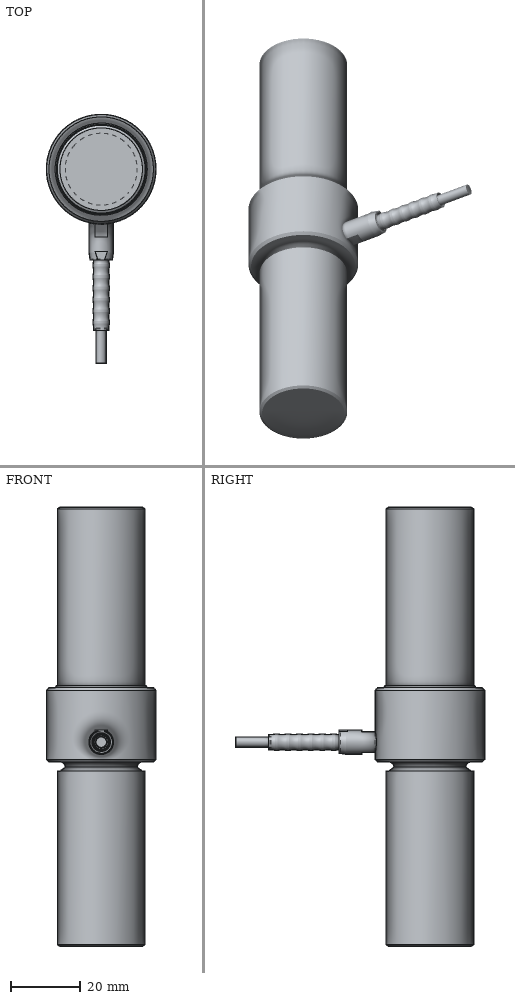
import cadquery as cq

ROD_LENGTH = 127.0
ROD_DIAMETER = 25.4
END_CHAMFER_RADIAL = 0.8
END_CHAMFER_AXIAL = 0.5

COLLAR_DIAMETER = 31.8
COLLAR_BOTTOM = 53.3
COLLAR_TOP = 74.8
COLLAR_CHAMFER = 0.8

STEP_BASE_DIAMETER = 26.7
STEP_TOP_DIAMETER = 25.9
STEP_HEIGHT = 0.6

SHOULDER_Z = 50.7
SHOULDER_DIAMETER = 23.9
NECK_DIAMETER = 20.8
NECK_FILLET = (SHOULDER_DIAMETER - NECK_DIAMETER) / 2

CABLE_Z = 59.0
COLLAR_RADIUS = COLLAR_DIAMETER / 2

GLAND_DIAMETER = 7.1
NOSE_START = 24.1
NOSE_END = 26.3
NOSE_END_DIAMETER = 6.5
NOSE_RECESS_DIAMETER = 5.3
NOSE_RECESS_DEPTH = 0.4

WRENCH_FLAT_ACROSS = 6.1
WRENCH_FLAT_END = 19.7

MARK_START = 23.7
MARK_START_WIDTH = 3.5
MARK_END_WIDTH = 1.9

SLEEVE_END = 46.6
SLEEVE_DIAMETER = 4.8
GROOVE_COUNT = 7
GROOVE_PITCH = 3.3
GROOVE_WIDTH = 2.5
GROOVE_DEPTH = 0.19
LAST_GROOVE_CENTER = 46.0

MOUTH_DIAMETER = 4.1
BORE_DIAMETER = 3.3
BORE_DEPTH = 0.6

CORD_DIAMETER = 3.0
CORD_END = 56.1


def make_rod():
    """Rod with chamfered ends, collar, conical step and neck groove."""
    rod = ROD_DIAMETER / 2
    end = rod - END_CHAMFER_RADIAL
    collar_edge = COLLAR_RADIUS - COLLAR_CHAMFER
    neck = NECK_DIAMETER / 2
    shoulder = SHOULDER_DIAMETER / 2
    return (
        cq.Workplane("XZ")
        .moveTo(0, 0)
        .lineTo(end, 0)
        .lineTo(rod, END_CHAMFER_AXIAL)
        .lineTo(rod, SHOULDER_Z)
        .lineTo(shoulder, SHOULDER_Z)
        .lineTo(neck, COLLAR_BOTTOM - NECK_FILLET)
        .radiusArc((neck + NECK_FILLET, COLLAR_BOTTOM), NECK_FILLET)
        .lineTo(collar_edge, COLLAR_BOTTOM)
        .lineTo(COLLAR_RADIUS, COLLAR_BOTTOM + COLLAR_CHAMFER)
        .lineTo(COLLAR_RADIUS, COLLAR_TOP - COLLAR_CHAMFER)
        .lineTo(collar_edge, COLLAR_TOP)
        .lineTo(STEP_BASE_DIAMETER / 2, COLLAR_TOP)
        .lineTo(STEP_TOP_DIAMETER / 2, COLLAR_TOP + STEP_HEIGHT)
        .lineTo(rod, COLLAR_TOP + STEP_HEIGHT)
        .lineTo(rod, ROD_LENGTH - END_CHAMFER_AXIAL)
        .lineTo(end, ROD_LENGTH)
        .lineTo(0, ROD_LENGTH)
        .close()
        .revolve(360, (0, 0, 0), (0, 1, 0))
    )


def revolve_about_cable(outline):
    """Turn an outline drawn in the XY plane about the Y axis."""
    return outline.close().revolve(360, (0, 0, 0), (0, 1, 0))


def cable_blank():
    """Plain turned gland, sleeve and cord, starting inside the collar."""
    gland = GLAND_DIAMETER / 2
    sleeve = SLEEVE_DIAMETER / 2
    recess = NOSE_RECESS_DIAMETER / 2
    recess_floor = NOSE_END - NOSE_RECESS_DEPTH
    bore = BORE_DIAMETER / 2
    mouth = MOUTH_DIAMETER / 2
    cord = CORD_DIAMETER / 2
    inner_start = COLLAR_RADIUS - GLAND_DIAMETER / 2
    return revolve_about_cable(
        cq.Workplane("XY")
        .moveTo(0, -inner_start)
        .lineTo(gland, -inner_start)
        .lineTo(gland, -NOSE_START)
        .lineTo(NOSE_END_DIAMETER / 2, -NOSE_END)
        .lineTo(recess, -NOSE_END)
        .lineTo(recess, -recess_floor)
        .lineTo(sleeve, -recess_floor)
        .lineTo(sleeve, -SLEEVE_END)
        .lineTo(mouth, -SLEEVE_END)
        .lineTo(bore, -(SLEEVE_END - (mouth - bore)))
        .lineTo(bore, -(SLEEVE_END - BORE_DEPTH))
        .lineTo(cord, -(SLEEVE_END - BORE_DEPTH))
        .lineTo(cord, -CORD_END)
        .lineTo(0, -CORD_END)
    )


def sleeve_groove(center):
    """Ring with a rounded inner side that cuts one shallow groove in the sleeve."""
    rim = SLEEVE_DIAMETER / 2
    near = -(center - GROOVE_WIDTH / 2)
    far = -(center + GROOVE_WIDTH / 2)
    return revolve_about_cable(
        cq.Workplane("XY")
        .moveTo(rim, near)
        .threePointArc((rim - GROOVE_DEPTH, -center), (rim, far))
    )


def sleeve_grooves():
    """All grooves, kept clear of the gland nose."""
    grooves = cq.Workplane("XY")
    for index in range(GROOVE_COUNT):
        grooves = grooves.add(sleeve_groove(LAST_GROOVE_CENTER - index * GROOVE_PITCH))
    nose_guard = cq.Workplane("XZ").circle(GLAND_DIAMETER).extrude(NOSE_END)
    return grooves.combine().cut(nose_guard)


def wrench_flat_cutters():
    """Blocks above and below the gland that leave the two wrench flats."""
    block = cq.Workplane("XY").box(
        GLAND_DIAMETER, WRENCH_FLAT_END, GLAND_DIAMETER, centered=(True, True, False)
    ).translate((0, -WRENCH_FLAT_END / 2, WRENCH_FLAT_ACROSS / 2))
    return block.union(block.mirror("XY"))


def index_mark():
    """Tapered raised mark on top of the nose, level with the top of the gland."""
    return (
        cq.Workplane("XY")
        .moveTo(-MARK_START_WIDTH / 2, -MARK_START)
        .lineTo(MARK_START_WIDTH / 2, -MARK_START)
        .lineTo(MARK_END_WIDTH / 2, -NOSE_END)
        .lineTo(-MARK_END_WIDTH / 2, -NOSE_END)
        .close()
        .extrude(GLAND_DIAMETER / 2)
        .cut(cq.Workplane("XZ").circle(NOSE_RECESS_DIAMETER / 2).extrude(NOSE_END))
    )


def make_cable(rod):
    """Finished cable, with its inner end shaped to sit on the collar."""
    return (
        cable_blank()
        .cut(sleeve_grooves())
        .cut(wrench_flat_cutters())
        .union(index_mark())
        .translate((0, 0, CABLE_Z))
        .cut(rod)
    )


rod = make_rod()
cable = make_cable(rod)

result = cq.Compound.makeCompound([rod.val(), cable.val()])